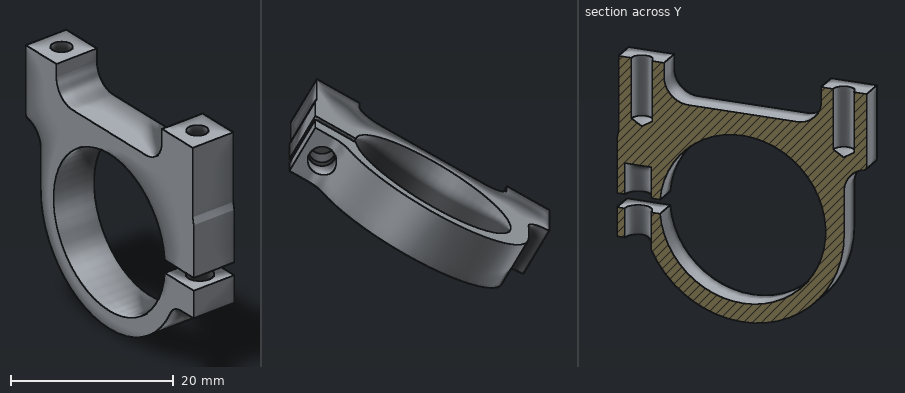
import cadquery as cq
import math

thickness = 6.35
bore_radius = 11.0
ring_radius = 13.55

leg_top = 19.05
leg_outer = 16.55
saddle_floor = 14.0
saddle_half_width = 10.45
saddle_fillet = 3.2

shoulder_radius = 3.2
shoulder_base = 5.8
shoulder_edge_radius = 0.5

lug_outer = 16.75
lug_bottom = -4.8
lug_fillet = 2.33
step_top = 9.3
step_bottom = 8.3
slot_width = 1.8

hole_offset = 13.45
hole_diameter = 2.73
hole_depth = 8.0
drill_point_angle = 118.0
clamp_hole_x = 13.95
clamp_hole_diameter = 3.5
clamp_hole_top = 5.0


def point_on_arc(center_x, center_z, radius, angle):
    """Point at an angle, in radians, around a centre in the XZ plane."""
    return (center_x + radius * math.cos(angle), center_z + radius * math.sin(angle))


def make_body():
    """Clamp outline with its saddle recess, before the bore and slot are cut."""
    shoulder_x = -ring_radius - shoulder_radius
    edge_x = -leg_outer + shoulder_edge_radius
    reach = shoulder_radius + shoulder_edge_radius
    edge_angle = math.acos((edge_x - shoulder_x) / reach)
    edge_z = shoulder_base + reach * math.sin(edge_angle)
    edge_start = (-leg_outer, edge_z)
    edge_middle = point_on_arc(edge_x, edge_z, shoulder_edge_radius, (2 * math.pi + edge_angle) / 2)
    shoulder_start = point_on_arc(shoulder_x, shoulder_base, shoulder_radius, edge_angle)
    shoulder_middle = point_on_arc(shoulder_x, shoulder_base, shoulder_radius, edge_angle / 2)

    fillet_z = lug_bottom - lug_fillet
    fillet_x = math.sqrt((ring_radius + lug_fillet) ** 2 - fillet_z**2)
    ring_angle = math.atan2(fillet_z, fillet_x)
    ring_end = point_on_arc(0, 0, ring_radius, ring_angle)
    fillet_middle = point_on_arc(
        fillet_x, fillet_z, lug_fillet, (math.pi / 2 + math.pi + ring_angle) / 2
    )

    outline = (
        cq.Workplane("XZ")
        .moveTo(-leg_outer, leg_top)
        .lineTo(*edge_start)
        .threePointArc(edge_middle, shoulder_start)
        .threePointArc(shoulder_middle, (-ring_radius, shoulder_base))
        .lineTo(-ring_radius, 0)
        .threePointArc((0, -ring_radius), ring_end)
        .threePointArc(fillet_middle, (fillet_x, lug_bottom))
        .lineTo(lug_outer, lug_bottom)
        .lineTo(lug_outer, step_bottom)
        .lineTo(leg_outer, step_top)
        .lineTo(leg_outer, leg_top)
        .close()
    )
    body = outline.extrude(thickness / 2, both=True)

    saddle_depth = leg_top - saddle_floor
    saddle = (
        cq.Workplane("XY")
        .workplane(offset=saddle_floor)
        .rect(2 * saddle_half_width, thickness)
        .extrude(saddle_depth)
        .edges("|Y and <Z")
        .fillet(saddle_fillet)
    )
    return body.cut(saddle)


def make_bore():
    return cq.Workplane("XZ").circle(bore_radius).extrude(thickness / 2, both=True)


def make_slot():
    """Gap running from the bore centre out through the right side."""
    return cq.Workplane("XY").box(lug_outer, thickness, slot_width, centered=(False, True, True))


def make_leg_hole(x):
    """Blind hole from the top of a leg, ending in a drill point."""
    radius = hole_diameter / 2
    point_depth = radius / math.tan(math.radians(drill_point_angle / 2))
    shoulder = leg_top - hole_depth
    return (
        cq.Workplane("XZ", origin=(x, 0, 0))
        .moveTo(0, leg_top)
        .lineTo(radius, leg_top)
        .lineTo(radius, shoulder)
        .lineTo(0, shoulder - point_depth)
        .close()
        .revolve(360, (0, 0, 0), (0, 1, 0))
    )


def make_clamp_hole():
    """Screw hole through the lower lug and blind in the upper one."""
    return (
        cq.Workplane("XY", origin=(clamp_hole_x, 0, -ring_radius))
        .circle(clamp_hole_diameter / 2)
        .extrude(clamp_hole_top + ring_radius)
    )


result = make_body().cut(make_bore()).cut(make_slot()).cut(make_clamp_hole())
for side in (-1, 1):
    result = result.cut(make_leg_hole(side * hole_offset))